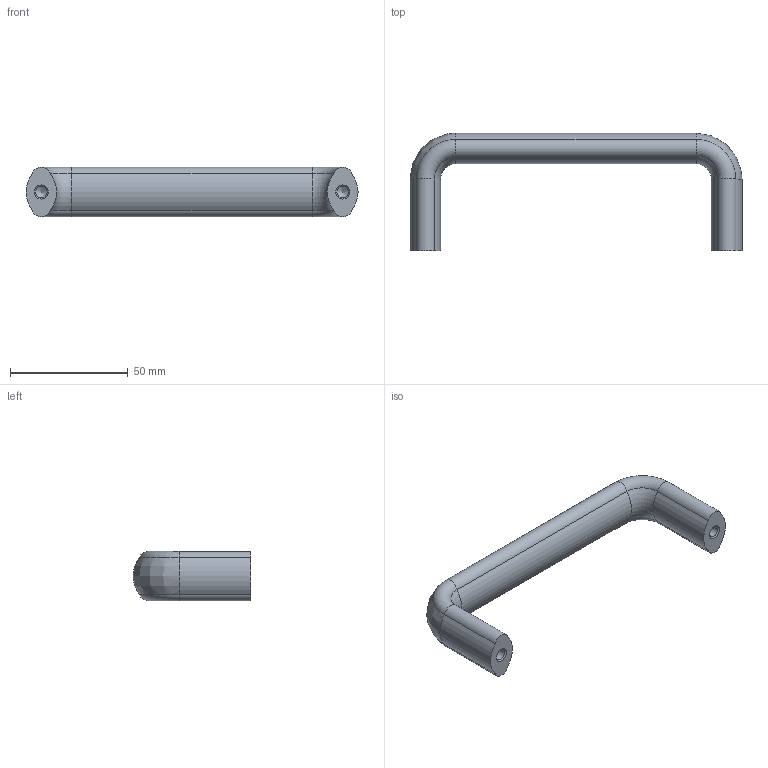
import cadquery as cq
import math

SPAN = 141.0
REACH = 50.0

BAR_THICKNESS = 13.0
BAR_HEIGHT = 21.0
SIDE_RADIUS = 12.5
EDGE_RADIUS = 4.0

BEND_RADIUS = 13.0
HOLE_DIAMETER = 4.92
HOLE_DEPTH = 12.0
COUNTERSINK_DIAMETER = 6.0
DRILL_POINT_ANGLE = 118.0

HALF_THICKNESS = BAR_THICKNESS / 2
HALF_HEIGHT = BAR_HEIGHT / 2
LEG_X = SPAN / 2 - HALF_THICKNESS
FRONT_Y = -REACH / 2
GRIP_Y = REACH / 2 - HALF_THICKNESS


def bar_section():
    """Closed lens outline, in the mounting-face plane, of the leg at -X."""
    edge_centre = HALF_HEIGHT - EDGE_RADIUS
    side_offset = SIDE_RADIUS - HALF_THICKNESS
    centre_distance = math.hypot(side_offset, edge_centre)
    along = (SIDE_RADIUS**2 - EDGE_RADIUS**2 + centre_distance**2) / (2 * centre_distance)
    across = math.sqrt(SIDE_RADIUS**2 - along**2)
    joint_x = (along * side_offset + across * edge_centre) / centre_distance - side_offset
    joint_z = (along * edge_centre - across * side_offset) / centre_distance
    return (
        cq.Workplane("XZ", origin=(-LEG_X, FRONT_Y, 0))
        .moveTo(joint_x, -joint_z)
        .threePointArc((HALF_THICKNESS, 0), (joint_x, joint_z))
        .threePointArc((0, HALF_HEIGHT), (-joint_x, joint_z))
        .threePointArc((-HALF_THICKNESS, 0), (-joint_x, -joint_z))
        .threePointArc((0, -HALF_HEIGHT), (joint_x, -joint_z))
        .close()
    )


def centreline():
    """U-shaped path along one leg, the grip and the other leg."""
    bend_x = LEG_X - BEND_RADIUS
    bend_y = GRIP_Y - BEND_RADIUS
    return (
        cq.Workplane("XY")
        .moveTo(-LEG_X, FRONT_Y)
        .lineTo(-LEG_X, bend_y)
        .radiusArc((-bend_x, GRIP_Y), BEND_RADIUS)
        .lineTo(bend_x, GRIP_Y)
        .radiusArc((LEG_X, bend_y), BEND_RADIUS)
        .lineTo(LEG_X, FRONT_Y)
    )


def mounting_hole(x):
    """Cutter for a blind hole with a drill point and a 45 degree countersink."""
    radius = HOLE_DIAMETER / 2
    mouth_radius = COUNTERSINK_DIAMETER / 2
    point_depth = radius / math.tan(math.radians(DRILL_POINT_ANGLE / 2))
    return (
        cq.Workplane("XY", origin=(x, FRONT_Y, 0))
        .lineTo(mouth_radius, 0)
        .lineTo(radius, mouth_radius - radius)
        .lineTo(radius, HOLE_DEPTH)
        .lineTo(0, HOLE_DEPTH + point_depth)
        .close()
        .revolve(360, (0, 0), (0, 1))
    )


result = bar_section().sweep(centreline())
for hole_x in (-LEG_X, LEG_X):
    result = result.cut(mounting_hole(hole_x))